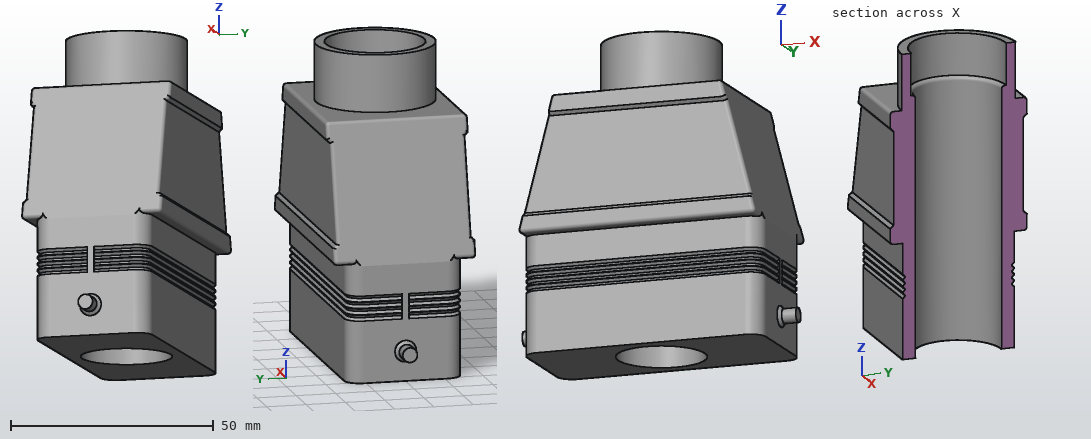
import cadquery as cq
import math

BODY_LENGTH = 62.8
BODY_WIDTH = 29.4
BODY_CORNER_RADIUS = 3.95

HOOD_WIDTH = 36.0
HOOD_BOTTOM = 30.0
HOOD_TOP = 64.5
HOOD_TOP_LENGTH = 44.55
END_LEAN = 14.7
HOOD_EDGE_RADIUS = 0.95

RECESS_DEPTH = 0.9
RECESS_BOTTOM = 34.2
RECESS_TOP = 60.1

TOTAL_HEIGHT = 79.0
NECK_DIAMETER = 30.0
SOCKET_DIAMETER = 25.0
SOCKET_DEPTH = 10.9
BORE_DIAMETER = 22.6
BORE_EDGE_RADIUS = 0.95

GROOVE_COUNT = 4
GROOVE_DEPTH = 0.6
GROOVE_STACK_BOTTOM = 15.8
GROOVE_STACK_HEIGHT = 6.3
GROOVE_RIDGE_FLAT = 0.15
GROOVE_PITCH = (GROOVE_STACK_HEIGHT + GROOVE_RIDGE_FLAT) / GROOVE_COUNT
GROOVE_HEIGHT = GROOVE_PITCH - GROOVE_RIDGE_FLAT
GROOVE_GAP = 1.7

PIN_SPAN = 72.0
PIN_DIAMETER = 3.7
PIN_HEIGHT = 7.6
PIN_COLLAR = 0.9


def hood_half_length(z):
    """Half length of the hood, along X, between its leaning ends at height z."""
    return HOOD_TOP_LENGTH / 2 + (HOOD_TOP - z) * math.tan(math.radians(END_LEAN))


def end_wedge(bottom, width):
    """Trapezoid between the two leaning ends, from bottom up to the hood top."""
    low = hood_half_length(bottom)
    high = hood_half_length(HOOD_TOP)
    outline = [(-low, bottom), (low, bottom), (high, HOOD_TOP), (-high, HOOD_TOP)]
    return cq.Workplane("XZ").polyline(outline).close().extrude(width / 2, both=True)


def make_hood():
    """Hood block with a recess along each long side and rounded outer edges."""
    outer = HOOD_WIDTH / 2
    inner = outer - RECESS_DEPTH
    right_side = [
        (outer, HOOD_BOTTOM),
        (outer, RECESS_BOTTOM),
        (inner, RECESS_BOTTOM + RECESS_DEPTH),
        (inner, RECESS_TOP - RECESS_DEPTH),
        (outer, RECESS_TOP),
        (outer, HOOD_TOP),
    ]
    left_side = [(-y, z) for y, z in reversed(right_side)]
    section = cq.Workplane("YZ").polyline(right_side + left_side).close()
    hood = section.extrude(BODY_LENGTH, both=True)
    hood = hood.intersect(end_wedge(HOOD_BOTTOM, HOOD_WIDTH))
    return hood.faces("<Z or >Z or <X or >X").edges().fillet(HOOD_EDGE_RADIUS)


def make_body():
    """Body walls, run up inside the hood and trimmed by the planes of its ends."""
    height = HOOD_BOTTOM + 2 * HOOD_EDGE_RADIUS
    body = cq.Workplane("XY").rect(BODY_LENGTH, BODY_WIDTH).extrude(height)
    body = body.edges("|Z").fillet(BODY_CORNER_RADIUS)
    return body.intersect(end_wedge(0, HOOD_WIDTH))


def make_groove(bottom):
    """Ring with a V section that cuts one groove into the body walls."""
    half = GROOVE_HEIGHT / 2
    taper = math.degrees(math.atan2(GROOVE_DEPTH, half))
    base = cq.Workplane("XY", origin=(0, 0, bottom))
    wall = cq.Sketch().rect(BODY_LENGTH, BODY_WIDTH).vertices().fillet(BODY_CORNER_RADIUS)
    ring = base.rect(BODY_LENGTH + GROOVE_HEIGHT, BODY_WIDTH + GROOVE_HEIGHT).extrude(GROOVE_HEIGHT)
    lower = base.placeSketch(wall).extrude(half, taper=taper)
    upper = lower.mirror("XY", (0, 0, bottom + half))
    bridge = base.rect(2 * BODY_LENGTH, GROOVE_GAP).extrude(GROOVE_HEIGHT)
    return ring.cut(lower).cut(upper).cut(bridge)


def make_pins():
    """Both pins as one turned shaft through the body, with conical collars at the walls."""
    radius = PIN_DIAMETER / 2
    wall = BODY_LENGTH / 2
    end = PIN_SPAN / 2
    half_section = [
        (-end, 0),
        (-end, radius),
        (-wall - PIN_COLLAR, radius),
        (-wall, radius + PIN_COLLAR),
        (wall, radius + PIN_COLLAR),
        (wall + PIN_COLLAR, radius),
        (end, radius),
        (end, 0),
    ]
    shaft = cq.Workplane("XY").polyline(half_section).close().revolve(360, (0, 0), (1, 0))
    return shaft.translate((0, 0, PIN_HEIGHT))


def make_neck():
    """Round cable neck standing on the hood."""
    base = cq.Workplane("XY", origin=(0, 0, HOOD_TOP))
    return base.circle(NECK_DIAMETER / 2).extrude(TOTAL_HEIGHT - HOOD_TOP)


def make_bore():
    """Round socket, ledge with a rounded inner edge and a plain bore through the bottom."""
    ledge = TOTAL_HEIGHT - SOCKET_DEPTH
    bore = BORE_DIAMETER / 2
    arc_inset = BORE_EDGE_RADIUS * (1 - math.sqrt(0.5))
    half_section = (
        cq.Workplane("XZ")
        .lineTo(bore, 0)
        .lineTo(bore, ledge - BORE_EDGE_RADIUS)
        .threePointArc((bore + arc_inset, ledge - arc_inset), (bore + BORE_EDGE_RADIUS, ledge))
        .lineTo(SOCKET_DIAMETER / 2, ledge)
        .lineTo(SOCKET_DIAMETER / 2, TOTAL_HEIGHT)
        .lineTo(0, TOTAL_HEIGHT)
        .close()
    )
    return half_section.revolve(360, (0, 0), (0, 1))


body = make_body()
for index in range(GROOVE_COUNT):
    body = body.cut(make_groove(GROOVE_STACK_BOTTOM + index * GROOVE_PITCH))

result = body.union(make_hood()).union(make_neck()).union(make_pins()).cut(make_bore())